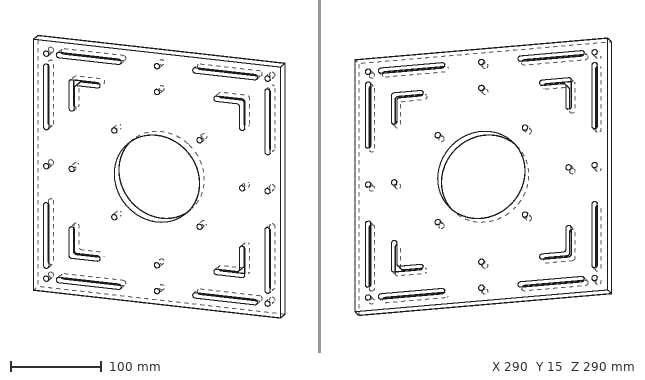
import cadquery as cq

side = 290.0
thickness = 15.0

bore_diameter = 100.0
hole_diameter = 6.0

edge_offset = 130.0
inner_offset = 100.0
bore_hole_offset = inner_offset / 2

slot_width = hole_diameter
slot_length = 76.0
slot_center = 80.0

angle_slot_width = hole_diameter
angle_slot_end = 70.0
angle_slot_fillet = 3.0

signs = (-1, 1)


def square_corners(offset):
    return [(x * offset, z * offset) for x in signs for z in signs]


def axis_points(offset):
    return [(offset, 0), (-offset, 0), (0, offset), (0, -offset)]


def through_cutter(sketch):
    """Extrude a sketch through the full plate thickness."""
    return sketch.extrude(thickness / 2, both=True)


def angle_slot():
    """L-shaped slot in the +X, +Z quadrant, with both corners rounded."""
    half_width = angle_slot_width / 2
    outer = inner_offset + half_width
    inner = inner_offset - half_width
    profile = (
        cq.Workplane("XZ")
        .moveTo(outer, outer - angle_slot_fillet)
        .radiusArc((outer - angle_slot_fillet, outer), -angle_slot_fillet)
        .lineTo(angle_slot_end, outer)
        .threePointArc((angle_slot_end - half_width, inner_offset), (angle_slot_end, inner))
        .lineTo(inner - angle_slot_fillet, inner)
        .radiusArc((inner, inner - angle_slot_fillet), angle_slot_fillet)
        .lineTo(inner, angle_slot_end)
        .threePointArc((inner_offset, angle_slot_end - half_width), (outer, angle_slot_end))
        .close()
    )
    return through_cutter(profile)


plate = cq.Workplane("XY").box(side, thickness, side)

plate = plate.cut(through_cutter(cq.Workplane("XZ").circle(bore_diameter / 2)))

hole_points = (
    square_corners(edge_offset)
    + square_corners(bore_hole_offset)
    + axis_points(edge_offset)
    + axis_points(inner_offset)
)
holes = cq.Workplane("XZ").pushPoints(hole_points).circle(hole_diameter / 2)
plate = plate.cut(through_cutter(holes))

horizontal_points = [(x * slot_center, z * edge_offset) for x in signs for z in signs]
vertical_points = [(x * edge_offset, z * slot_center) for x in signs for z in signs]
for points, angle in ((horizontal_points, 0), (vertical_points, 90)):
    slots = cq.Workplane("XZ").pushPoints(points).slot2D(slot_length, slot_width, angle)
    plate = plate.cut(through_cutter(slots))

for quarter_turn in range(4):
    plate = plate.cut(angle_slot().rotate((0, 0, 0), (0, 1, 0), 90 * quarter_turn))

result = plate